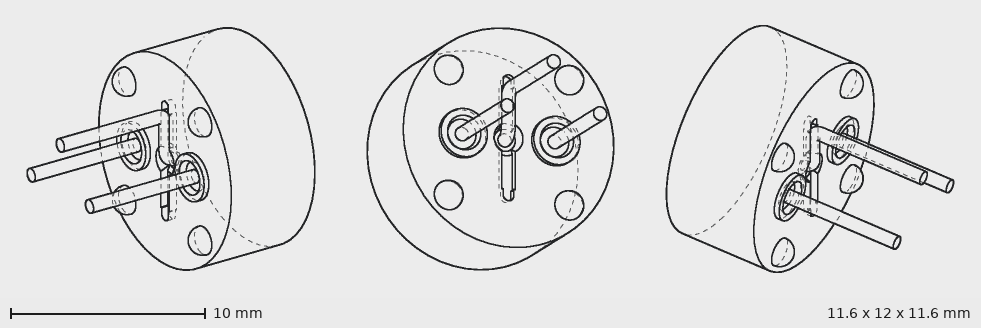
import cadquery as cq
import math

can_radius = 5.78
can_length = 5.32
total_length = 11.99
pin_reach = total_length - can_length

pin_radius = 0.36
pin_offset = 2.54
pin_embedment = 0.36

dome_radius = 0.77
dome_circle_radius = 4.68
dome_count = 4

collar_radius = 1.27
collar_height = 0.3
collar_recess_radius = 0.91
collar_recess_floor_radius = 0.78
collar_recess_depth = 0.36

bend_radius = 0.5
wire_depth = pin_radius - collar_height

slot_width = 0.73
slot_half_length = 2.71
slot_depth = 0.43
slot_tip_width = 0.59
slot_tip_half_length = 3.32
hole_radius = 0.79
hole_floor_radius = 0.59
hole_depth = 0.6
slot_bevel_radius = 0.85

y_direction = cq.Vector(0, 1, 0)


def cylinder(x, z, radius, y_start, y_end):
    """Cylinder along Y from y_start to y_end."""
    height = y_end - y_start
    base = cq.Vector(x, y_start, z)
    return cq.Workplane(cq.Solid.makeCylinder(radius, height, base, y_direction))


def tapered_hole(x, y, radius, floor_radius, depth):
    """Cone that opens towards -Y at position y and narrows to its floor."""
    mouth = cq.Vector(x, y, 0)
    return cq.Workplane(cq.Solid.makeCone(radius, floor_radius, depth, mouth, y_direction))


def slot():
    wide = cq.Workplane("XZ").rect(slot_width, 2 * slot_half_length).extrude(-slot_depth)
    narrow = cq.Workplane("XZ").slot2D(2 * slot_tip_half_length, slot_tip_width, 90).extrude(-slot_depth)
    return wide.union(narrow)


def slot_bevel():
    """Slope from the slot floor to the hole floor, no wider than the slot."""
    cone = tapered_hole(0, slot_depth, slot_bevel_radius, hole_floor_radius, hole_depth - slot_depth)
    strip = cq.Workplane("XZ").rect(slot_width, 2 * slot_bevel_radius).extrude(-hole_depth)
    return cone.intersect(strip)


def bent_pin():
    diagonal = bend_radius * math.sqrt(0.5)
    root_y = wire_depth + bend_radius
    anchor_y = hole_depth + pin_embedment
    exit_y = wire_depth - bend_radius
    exit_z = pin_offset - bend_radius
    path = (
        cq.Workplane("YZ")
        .moveTo(anchor_y, 0)
        .lineTo(root_y, 0)
        .threePointArc((root_y - diagonal, bend_radius - diagonal), (wire_depth, bend_radius))
        .lineTo(wire_depth, exit_z)
        .threePointArc((exit_y + diagonal, exit_z + diagonal), (exit_y, pin_offset))
        .lineTo(-pin_reach, pin_offset)
    )
    profile = cq.Workplane("XZ", origin=(0, anchor_y, 0)).circle(pin_radius)
    return profile.sweep(path)


body = cylinder(0, 0, can_radius, 0, can_length)
for i in range(dome_count):
    angle = 2 * math.pi * (i + 0.5) / dome_count
    dome_x = dome_circle_radius * math.cos(angle)
    dome_z = dome_circle_radius * math.sin(angle)
    dome = cq.Workplane("XY").sphere(dome_radius).translate((dome_x, 0, dome_z))
    body = body.union(dome)

body = body.cut(slot())
body = body.cut(tapered_hole(0, 0, hole_radius, hole_floor_radius, hole_depth))
body = body.cut(slot_bevel())

for pin_x in (-pin_offset, pin_offset):
    body = body.union(cylinder(pin_x, 0, collar_radius, -collar_height, 0))
    recess = tapered_hole(
        pin_x, -collar_height, collar_recess_radius, collar_recess_floor_radius, collar_recess_depth
    )
    body = body.cut(recess)
    pin_root = collar_recess_depth - collar_height + pin_embedment
    body = body.union(cylinder(pin_x, 0, pin_radius, -pin_reach, pin_root))

result = body.union(bent_pin())